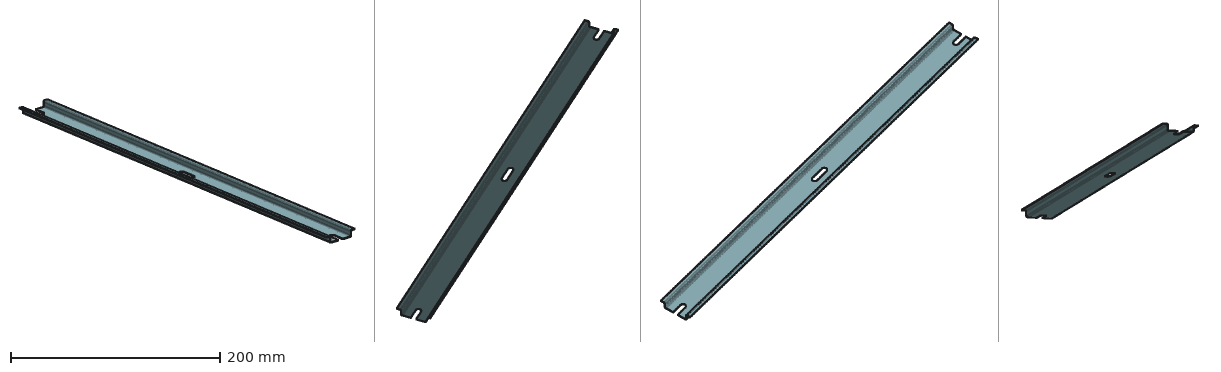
import cadquery as cq

rail_length = 453.0
rail_width = 35.0
rail_height = 7.5

sheet_thickness = 1.0
channel_width = 27.0

floor_bend_inner_radius = 0.5
floor_bend_outer_radius = 2.0

flange_bend_inner_radius = 0.8
flange_bend_outer_radius = flange_bend_inner_radius + sheet_thickness

slot_width = 5.5
middle_slot_center_spacing = 15.0
end_slot_center_distance = 12.0

middle_slot_length = middle_slot_center_spacing + slot_width
end_slot_depth = end_slot_center_distance + slot_width / 2

half_width = rail_width / 2
wall_outside = channel_width / 2
wall_inside = wall_outside - sheet_thickness
flange_underside = rail_height - sheet_thickness


def make_section():
    """Top-hat section with sharp bends, in the YZ plane with the floor on Z = 0."""
    right_half = [
        (wall_outside, 0),
        (wall_outside, flange_underside),
        (half_width, flange_underside),
        (half_width, rail_height),
        (wall_inside, rail_height),
        (wall_inside, sheet_thickness),
    ]
    left_half = [(-y, z) for y, z in reversed(right_half)]
    return cq.Workplane("YZ").polyline(right_half + left_half).close()


def round_bend(rail, y, z, radius):
    """Round the lengthwise edge at height z on both side walls, at +y and -y."""
    for side in (-1, 1):
        edge = cq.selectors.NearestToPointSelector((0, side * y, z))
        rail = rail.edges(edge).fillet(radius)
    return rail


def make_rail():
    """Bent rail without slots, centered on X and Y."""
    rail = make_section().extrude(rail_length / 2, both=True)
    rail = round_bend(rail, wall_inside, sheet_thickness, floor_bend_inner_radius)
    rail = round_bend(rail, wall_outside, flange_underside, flange_bend_inner_radius)
    rail = round_bend(rail, wall_outside, 0, floor_bend_outer_radius)
    return round_bend(rail, wall_inside, rail_height, flange_bend_outer_radius)


def make_slot_cutter(center_x, length):
    """Cutter through the floor for one slot lying along X."""
    return (
        cq.Workplane("XY")
        .center(center_x, 0)
        .slot2D(length, slot_width)
        .extrude(sheet_thickness)
    )


result = make_rail().cut(make_slot_cutter(0, middle_slot_length))

for end_x in (-rail_length / 2, rail_length / 2):
    result = result.cut(make_slot_cutter(end_x, 2 * end_slot_depth))